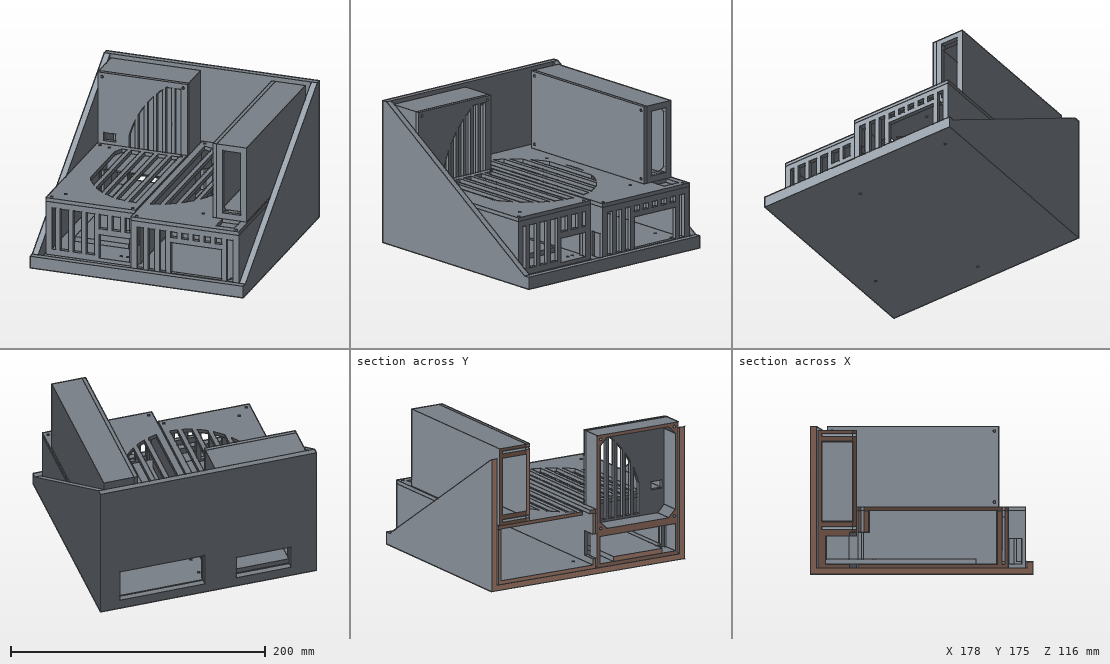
import cadquery as cq
WALL = 3.0
POST_LEG = 6.0
SCREW_HOLE = 2.0
SCREW_INSET = 3.5
MARGIN = 5.0
CORNER_DEPTH = WALL + POST_LEG

CASE_WIDTH = 178.0
CASE_DEPTH = 175.0
CASE_HEIGHT = 116.0
CASE_WALL = 5.0
CASE_LIP = 10.0

CLEARANCE = 1.0
LOW_HEIGHT = 45.0
LEFT_X = CASE_WALL + CLEARANCE
LEFT_Y = 19.5
LEFT_WIDTH = 75.0
LEFT_LENGTH = 118.0
RIGHT_X = 82.0
RIGHT_Y = CASE_WALL + CLEARANCE
RIGHT_WIDTH = 90.0
RIGHT_LENGTH = 163.0
FLOOR_TOP = CASE_WALL + WALL
DECK = CASE_WALL + LOW_HEIGHT + WALL

TALL_BACK_X = 171.0
TALL_DEPTH = 25.0
TALL_Y = 26.9
TALL_LENGTH = 134.7
TALL_HEIGHT = CASE_HEIGHT - DECK

TOWER_BACK_Y = CASE_DEPTH - CASE_WALL - CLEARANCE
TOWER_DEPTH = 27.2
TOWER_Z = 33.0
TOWER_HEIGHT = 80.1
BASE_POST_LEG = 3.5

SLAB_WIDTH = 45.0
SLAB_HEIGHT = 4.0
SLAB_FRONT_Y = 45.0
PASSAGE_HEIGHT = 20.0

OVAL_X = 76.2
OVAL_Y = 97.7
OVAL_RADIUS_X = 57.0
OVAL_RADIUS_Y = 63.5


def block(x, y, z, width, depth, height):
    """A box with its lowest corner at (x, y, z)."""
    return cq.Workplane().box(width, depth, height, centered=False).translate((x, y, z))


def holes(points, bottom, height):
    """Upright screw-hole cutters at the given (x, y) points."""
    return (
        cq.Workplane(origin=(0, 0, bottom))
        .pushPoints(points)
        .circle(SCREW_HOLE / 2)
        .extrude(height)
    )


def corner_points(width, length):
    """The four lid screw positions of a box."""
    xs = (SCREW_INSET, width - SCREW_INSET)
    ys = (SCREW_INSET, length - SCREW_INSET)
    return [(x, y) for x in xs for y in ys]


def open_box(width, length, depth):
    """A box open toward +Z, its lowest corner at the origin, with a screw post in each corner."""
    cavity = block(WALL, WALL, WALL, width - 2 * WALL, length - 2 * WALL, depth)
    cavity = cavity.edges("|Z").chamfer(POST_LEG)
    screws = holes(corner_points(width, length), WALL, depth)
    return block(0, 0, 0, width, length, depth).cut(cavity).cut(screws)


def lid_plate(width, length, depth):
    """The lid that closes an open_box of the same size."""
    plate = block(0, 0, depth, width, length, WALL)
    return plate.cut(holes(corner_points(width, length), depth, WALL))


def grille(outline, first_x, pitch, slot_width, count, width, length):
    """Slots along Y, kept inside an outline and inside the border of a width x length lid."""
    height = 2 * LOW_HEIGHT
    window = block(MARGIN, MARGIN, 0, width - 2 * MARGIN, length - 2 * MARGIN, height)
    area = outline.extrude(height).intersect(window)
    slots = cq.Workplane()
    for i in range(count):
        slots = slots.add(block(first_x + i * pitch, 0, 0, slot_width, length, height))
    return slots.combine().intersect(area)


def face_minus_x(body):
    """Turn a box open toward +Z so that it opens toward -X, with its local X pointing up."""
    return body.rotate((0, 0, 0), (0, 1, 0), -90).translate((TALL_BACK_X, TALL_Y, DECK))


def face_minus_y(body):
    """Turn a box open toward +Z so that it opens toward -Y, with its local Y pointing up."""
    return body.rotate((0, 0, 0), (1, 0, 0), 90).translate((LEFT_X, TOWER_BACK_Y, TOWER_Z))


LEFT_MIDDLE = LEFT_X + LEFT_WIDTH / 2
SLAB_X = LEFT_MIDDLE - SLAB_WIDTH / 2
REAR_INSET = 10.0
REAR_HEIGHT = 28.0
MOUNT_INSET = 10.0
LEFT_MOUNTS = [
    (LEFT_X + MOUNT_INSET, LEFT_Y + LEFT_LENGTH - MOUNT_INSET),
    (LEFT_X + LEFT_WIDTH - MOUNT_INSET, LEFT_Y + MOUNT_INSET),
]
RIGHT_MOUNTS = [
    (RIGHT_X + MOUNT_INSET, RIGHT_Y + RIGHT_LENGTH - MOUNT_INSET),
    (RIGHT_X + RIGHT_WIDTH - MOUNT_INSET, RIGHT_Y + MOUNT_INSET),
]
slab_passage = block(SLAB_X, TOWER_BACK_Y - WALL, FLOOR_TOP, SLAB_WIDTH, CASE_DEPTH, PASSAGE_HEIGHT)
right_rear_opening = block(
    RIGHT_X + REAR_INSET,
    RIGHT_Y + RIGHT_LENGTH - CORNER_DEPTH,
    FLOOR_TOP,
    RIGHT_WIDTH - 2 * REAR_INSET,
    CASE_DEPTH,
    REAR_HEIGHT,
)
mount_holes = holes(LEFT_MOUNTS + RIGHT_MOUNTS, 0, FLOOR_TOP)


def make_case():
    """Floor, low front lip, rear wall and two side walls with sloping tops."""
    profile = [
        (0, 0),
        (CASE_DEPTH, 0),
        (CASE_DEPTH, CASE_HEIGHT),
        (CASE_DEPTH - CASE_WALL, CASE_HEIGHT),
        (CASE_WALL, CASE_LIP),
        (0, CASE_LIP),
    ]
    body = cq.Workplane("YZ").polyline(profile).close().extrude(CASE_WIDTH)
    inner_width = CASE_WIDTH - 2 * CASE_WALL
    inner_depth = CASE_DEPTH - 2 * CASE_WALL
    body = body.cut(block(CASE_WALL, CASE_WALL, CASE_WALL, inner_width, inner_depth, CASE_HEIGHT))
    return body.cut(slab_passage).cut(right_rear_opening).cut(mount_holes)


FRONT_TOP = 45.0
FRONT_BOTTOM = CASE_LIP
LEFT_SLOT_WIDTH = 7.0
LEFT_SLOT_PITCH = 10.9
LEFT_FIRST_SLOT = 7.1
LEFT_LONG_SLOTS = 4
LEFT_SLOTS = 7
LEFT_SHORT_BOTTOM = 33.0
LEFT_WINDOW_TOP = 28.0
LEFT_BOARD_HOLE = (65.7, 29.2)


def make_left_box():
    """Box with a slotted front, a front window and a wide rear opening."""
    body = open_box(LEFT_WIDTH, LEFT_LENGTH, LOW_HEIGHT).translate((LEFT_X, LEFT_Y, CASE_WALL))
    right_edge = LEFT_X + LEFT_WIDTH - MARGIN
    for i in range(LEFT_SLOTS):
        start = LEFT_FIRST_SLOT + i * LEFT_SLOT_PITCH
        left = max(start, LEFT_X + MARGIN)
        right = min(start + LEFT_SLOT_WIDTH, right_edge)
        bottom = FRONT_BOTTOM if i < LEFT_LONG_SLOTS else LEFT_SHORT_BOTTOM
        body = body.cut(block(left, LEFT_Y, bottom, right - left, CORNER_DEPTH, FRONT_TOP - bottom))
    window_x = LEFT_FIRST_SLOT + LEFT_LONG_SLOTS * LEFT_SLOT_PITCH
    window_height = LEFT_WINDOW_TOP - FLOOR_TOP
    body = body.cut(block(window_x, LEFT_Y, FLOOR_TOP, right_edge - window_x, CORNER_DEPTH, window_height))
    rear_opening = block(
        LEFT_X + WALL,
        LEFT_Y + LEFT_LENGTH - CORNER_DEPTH,
        FLOOR_TOP,
        LEFT_WIDTH - 2 * WALL,
        CORNER_DEPTH,
        TOWER_Z - FLOOR_TOP,
    )
    return body.cut(rear_opening).cut(mount_holes).cut(holes([LEFT_BOARD_HOLE], CASE_WALL, WALL))


RIGHT_SLOT_WIDTH = 5.3
RIGHT_SLOTS = 9
RIGHT_LONG_SLOTS = (0, 1, 2, 8)
RIGHT_WINDOW_FIRST = 3
RIGHT_WINDOW_LAST = 7
RIGHT_SHORT_BOTTOM = 40.2
RIGHT_WINDOW_TOP = 36.0
CABLE_BOTTOM = 13.0
FRONT_CABLE_LENGTH = 10.0
RIGHT_BOARD_HOLES = [(93.0, 141.5), (161.0, 33.6)]


def make_right_box():
    """Box with a slotted front, a front window, a rear opening and two openings in its left wall."""
    body = open_box(RIGHT_WIDTH, RIGHT_LENGTH, LOW_HEIGHT).translate((RIGHT_X, RIGHT_Y, CASE_WALL))
    first_slot = RIGHT_X + MARGIN
    pitch = (RIGHT_WIDTH - 2 * MARGIN - RIGHT_SLOT_WIDTH) / (RIGHT_SLOTS - 1)
    for i in range(RIGHT_SLOTS):
        left = first_slot + i * pitch
        bottom = FRONT_BOTTOM if i in RIGHT_LONG_SLOTS else RIGHT_SHORT_BOTTOM
        body = body.cut(block(left, RIGHT_Y, bottom, RIGHT_SLOT_WIDTH, CORNER_DEPTH, FRONT_TOP - bottom))
    window_x = first_slot + RIGHT_WINDOW_FIRST * pitch
    window_width = (RIGHT_WINDOW_LAST - RIGHT_WINDOW_FIRST) * pitch + RIGHT_SLOT_WIDTH
    window_height = RIGHT_WINDOW_TOP - FRONT_BOTTOM
    body = body.cut(block(window_x, RIGHT_Y, FRONT_BOTTOM, window_width, CORNER_DEPTH, window_height))
    front_y = RIGHT_Y + WALL
    rear_y = RIGHT_Y + RIGHT_LENGTH - WALL - PASSAGE_HEIGHT
    body = body.cut(block(RIGHT_X, front_y, FLOOR_TOP, CORNER_DEPTH, FRONT_CABLE_LENGTH, PASSAGE_HEIGHT))
    body = body.cut(block(RIGHT_X, rear_y, CABLE_BOTTOM, CORNER_DEPTH, PASSAGE_HEIGHT, PASSAGE_HEIGHT))
    body = body.cut(right_rear_opening).cut(mount_holes)
    return body.cut(holes(RIGHT_BOARD_HOLES, CASE_WALL, WALL))


FAN_X = 75.6
FAN_Y = 81.9
FAN_SPAN_X = 115.0
FAN_SPAN_Y = 100.0
GRILLE_PITCH = 11.2
LEFT_GRILLE_X = 25.1
LEFT_GRILLE_SLOT = 7.5
RIGHT_GRILLE_X = 87.5
RIGHT_GRILLE_SLOT = 7.3
GRILLE_SLOTS = 5
LID_WINDOW_X = 151.1
LID_WINDOW = 15.0


def make_low_lid(x, y, width, length, grille_x, slot_width, fan_x):
    """A low lid with its part of the oval grille and two fan screw holes."""
    lid = lid_plate(width, length, LOW_HEIGHT)
    oval = cq.Workplane().center(OVAL_X - x, OVAL_Y - y).ellipse(OVAL_RADIUS_X, OVAL_RADIUS_Y)
    lid = lid.cut(grille(oval, grille_x - x, GRILLE_PITCH, slot_width, GRILLE_SLOTS, width, length))
    lid = lid.translate((x, y, CASE_WALL))
    fan_points = [(fan_x, FAN_Y + side * FAN_SPAN_Y / 2) for side in (-1, 1)]
    return lid.cut(holes(fan_points, CASE_WALL + LOW_HEIGHT, WALL))


def make_left_lid():
    """Lid of the left box."""
    fan_x = FAN_X - FAN_SPAN_X / 2
    return make_low_lid(LEFT_X, LEFT_Y, LEFT_WIDTH, LEFT_LENGTH, LEFT_GRILLE_X, LEFT_GRILLE_SLOT, fan_x)


def make_right_lid():
    """Lid of the right box, with a square window in front of the tall box."""
    fan_x = FAN_X + FAN_SPAN_X / 2
    lid = make_low_lid(
        RIGHT_X, RIGHT_Y, RIGHT_WIDTH, RIGHT_LENGTH, RIGHT_GRILLE_X, RIGHT_GRILLE_SLOT, fan_x
    )
    window = block(LID_WINDOW_X, TALL_Y - LID_WINDOW, DECK - WALL, LID_WINDOW, LID_WINDOW, WALL)
    return lid.cut(window)


TALL_HOLE_XS = (152.2, 161.8)
TALL_HOLE_INSET = 7.1


def make_tall_box():
    """Upright box with a front window and four holes in its floor."""
    body = face_minus_x(open_box(TALL_HEIGHT, TALL_LENGTH, TALL_DEPTH))
    window = block(
        TALL_BACK_X - TALL_DEPTH + MARGIN,
        TALL_Y,
        DECK + MARGIN,
        TALL_DEPTH - 2 * MARGIN,
        CORNER_DEPTH,
        TALL_HEIGHT - 2 * MARGIN,
    )
    ys = (TALL_Y + TALL_HOLE_INSET, TALL_Y + TALL_LENGTH - TALL_HOLE_INSET)
    floor_holes = holes([(x, y) for x in TALL_HOLE_XS for y in ys], DECK, CORNER_DEPTH)
    return body.cut(window).cut(floor_holes)


def make_tall_lid():
    """Upright lid on the -X side of the tall box."""
    return face_minus_x(lid_plate(TALL_HEIGHT, TALL_LENGTH, TALL_DEPTH))


BOARD_HOLES = [(58.5, 65.0), (60.3, 78.7), (60.3, 97.0)]


def make_tower():
    """Upper compartment open toward -Y, on a base that is open toward -Y as well."""
    upper = face_minus_y(open_box(LEFT_WIDTH, TOWER_HEIGHT, TOWER_DEPTH))
    rear_wall_y = TOWER_BACK_Y - WALL
    board_holes = (
        cq.Workplane("XZ", origin=(0, rear_wall_y, 0))
        .pushPoints(BOARD_HOLES)
        .circle(SCREW_HOLE / 2)
        .extrude(-WALL)
    )
    depth = TOWER_DEPTH + WALL
    front_y = TOWER_BACK_Y - depth
    base_height = TOWER_Z - CASE_WALL
    base = block(LEFT_X, front_y, CASE_WALL, LEFT_WIDTH, depth, base_height)
    base = base.edges("|Z and <Y").chamfer(CORNER_DEPTH)
    inner_width = LEFT_WIDTH - 2 * WALL
    cavity = block(LEFT_X + WALL, front_y, FLOOR_TOP, inner_width, depth - WALL, base_height - 2 * WALL)
    cavity = cavity.edges("|Z and >Y").chamfer(BASE_POST_LEG)
    base = base.cut(cavity).cut(slab_passage)
    return upper.cut(board_holes).union(base)


TOWER_SLOT_X = 26.2
TOWER_SLOT_PITCH = 7.7
TOWER_SLOT_WIDTH = 5.0
TOWER_SLOTS = 6
TOWER_ARC_X = 106.0
TOWER_ARC_Z = 8.0
TOWER_ARC_RADIUS = 82.8
TOWER_WINDOW_Z = 22.5
TOWER_WINDOW_WIDTH = 10.0
TOWER_WINDOW_HEIGHT = 6.8


def make_tower_lid():
    """Upright lid with slots under a large arc and a small window beside them."""
    lid = lid_plate(LEFT_WIDTH, TOWER_HEIGHT, TOWER_DEPTH)
    disc = cq.Workplane().center(TOWER_ARC_X, TOWER_ARC_Z).circle(TOWER_ARC_RADIUS)
    lid = lid.cut(
        grille(disc, TOWER_SLOT_X, TOWER_SLOT_PITCH, TOWER_SLOT_WIDTH, TOWER_SLOTS, LEFT_WIDTH, TOWER_HEIGHT)
    )
    window = block(MARGIN, TOWER_WINDOW_Z, TOWER_DEPTH, TOWER_WINDOW_WIDTH, TOWER_WINDOW_HEIGHT, WALL)
    return face_minus_y(lid.cut(window))


SLAB_HOLE = (62.1, 125.1)


def make_slab():
    """Flat slab on the floor of the left box, reaching through to the back of the tower base."""
    slab = block(SLAB_X, SLAB_FRONT_Y, FLOOR_TOP, SLAB_WIDTH, TOWER_BACK_Y - SLAB_FRONT_Y, SLAB_HEIGHT)
    return slab.cut(holes([SLAB_HOLE], FLOOR_TOP, SLAB_HEIGHT))


bodies = [
    make_case(),
    make_left_box(),
    make_left_lid(),
    make_right_box(),
    make_right_lid(),
    make_tall_box(),
    make_tall_lid(),
    make_tower(),
    make_tower_lid(),
    make_slab(),
]
result = cq.Compound.makeCompound([body.val() for body in bodies])